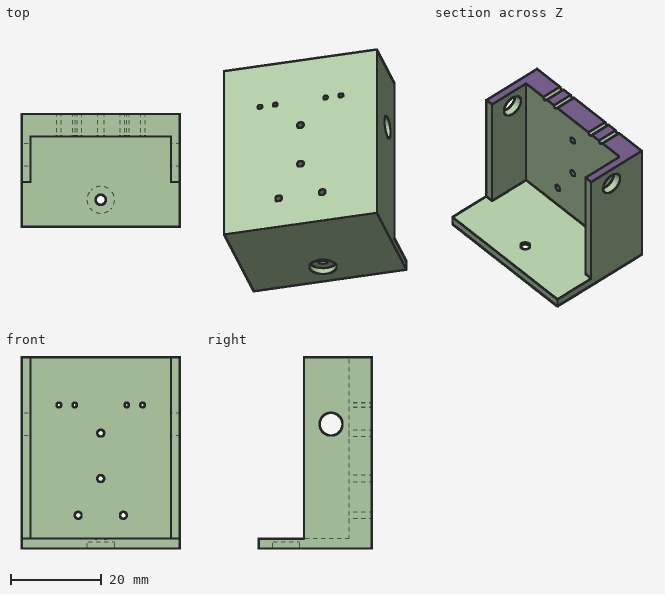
import cadquery as cq

width = 35.0
depth = 25.0
height = 42.3

back_thickness = 5.0
side_thickness = 2.0
base_thickness = 2.2
side_depth = 15.0

outer_pin_diameter = 1.0
inner_pin_diameter = 0.97
mount_diameter = 1.5
base_hole_diameter = 2.2
base_recess_diameter = 6.0
base_recess_depth = 1.5
side_hole_diameter = 5.0

pin_height = 31.72
outer_pin_offset = 9.25
inner_pin_offset = 5.75
upper_mount_height = 25.5
lower_mount_height = 15.5
foot_mount_height = 7.35
foot_mount_offset = 5.0
base_hole_from_front = 6.0
side_hole_from_back = 9.0
side_hole_height = 27.5


def block(x_min, y_min, z_min, x_size, y_size, z_size):
    """Box placed by its lowest corner."""
    return cq.Workplane("XY").box(x_size, y_size, z_size, centered=False).translate((x_min, y_min, z_min))


def back_holes(places, diameter):
    """Cutters along Y through the back plate, at (x, z) places."""
    return cq.Workplane("XZ").pushPoints(places).circle(diameter / 2).extrude(-depth)


base = block(-width / 2, 0, 0, width, depth, base_thickness)
back = block(-width / 2, depth - back_thickness, 0, width, back_thickness, height)
left_side = block(-width / 2, depth - side_depth, 0, side_thickness, side_depth, height)
right_side = left_side.mirror("YZ")
result = base.union(back).union(left_side).union(right_side)

outer_pins = [(side * outer_pin_offset, pin_height) for side in (-1, 1)]
inner_pins = [(side * inner_pin_offset, pin_height) for side in (-1, 1)]
mounts = [(0, upper_mount_height), (0, lower_mount_height)]
mounts += [(side * foot_mount_offset, foot_mount_height) for side in (-1, 1)]
result = result.cut(back_holes(outer_pins, outer_pin_diameter))
result = result.cut(back_holes(inner_pins, inner_pin_diameter))
result = result.cut(back_holes(mounts, mount_diameter))

base_centre = cq.Workplane("XY").center(0, base_hole_from_front)
base_hole = base_centre.circle(base_hole_diameter / 2).extrude(base_thickness)
base_recess = base_centre.circle(base_recess_diameter / 2).extrude(base_recess_depth)
result = result.cut(base_hole).cut(base_recess)

side_hole = (
    cq.Workplane("YZ")
    .center(depth - side_hole_from_back, side_hole_height)
    .circle(side_hole_diameter / 2)
    .extrude(width / 2, both=True)
)
result = result.cut(side_hole)